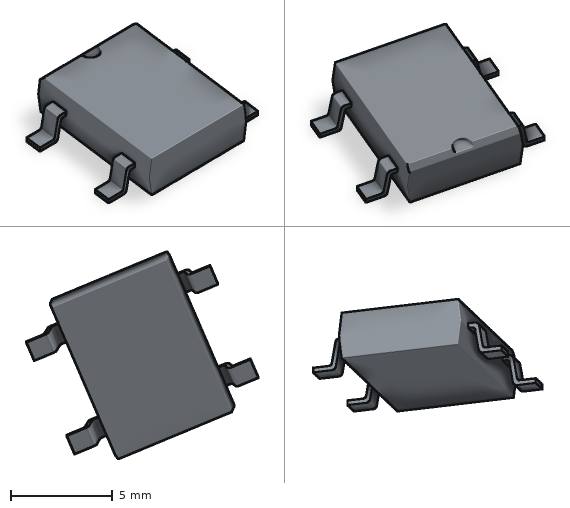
import cadquery as cq
import math

BODY_LENGTH = 8.31
PARTING_WIDTH = 6.4
BODY_BOTTOM = 0.14
BODY_TOP = 2.55
DRAFT_ANGLE = 7.0
END_CHAMFER = 0.3
EDGE_RADIUS = 0.05

MARK_RADIUS = 0.5
MARK_DEPTH = 0.2

LEAD_SPAN = 9.85
LEAD_PITCH = 5.1
LEAD_WIDTH = 1.0
LEAD_THICKNESS = 0.25
LEAD_TOP = 1.62
LEAD_SLOPE = 10.0
FOOT_LENGTH = 0.96
OUTER_BEND_RADIUS = 0.22
INNER_BEND_RADIUS = 0.16
LEAD_EMBED = 0.49

PARTING_HEIGHT = LEAD_TOP - LEAD_THICKNESS


def draft_inset(height):
    """Distance a long side leans inward over a given height."""
    return height * math.tan(math.radians(DRAFT_ANGLE))


def make_body():
    """Hexagonal section along X, chamfered and marked at one end, with rounded edges."""
    half_parting = PARTING_WIDTH / 2
    half_top = half_parting - draft_inset(BODY_TOP - PARTING_HEIGHT)
    half_bottom = half_parting - draft_inset(PARTING_HEIGHT - BODY_BOTTOM)
    section = [
        (-half_bottom, BODY_BOTTOM),
        (half_bottom, BODY_BOTTOM),
        (half_parting, PARTING_HEIGHT),
        (half_top, BODY_TOP),
        (-half_top, BODY_TOP),
        (-half_parting, PARTING_HEIGHT),
    ]
    body = cq.Workplane("YZ").polyline(section).close().extrude(BODY_LENGTH / 2, both=True)
    body = body.faces("<X").edges(">Z").chamfer(END_CHAMFER)

    mark_centre = (END_CHAMFER - BODY_LENGTH / 2, 0, BODY_TOP - MARK_DEPTH)
    body = body.cut(cq.Workplane("XY", origin=mark_centre).circle(MARK_RADIUS).extrude(2 * MARK_DEPTH))

    parting_lines = cq.selectors.StringSyntaxSelector("|X and (>Y or <Y)")
    x_middle = (END_CHAMFER - BODY_LENGTH) / 2
    z_middle = BODY_TOP - END_CHAMFER / 2
    sharp_edges = parting_lines
    for y_side in (-half_top, half_top):
        sharp_edges += cq.selectors.NearestToPointSelector((x_middle, y_side, z_middle))
    return body.edges(-sharp_edges).fillet(EDGE_RADIUS)


def make_lead(x_position):
    """One lead on the +Y side, reaching into the body at its root."""
    slope = math.radians(LEAD_SLOPE)
    y_tip = LEAD_SPAN / 2
    y_root = PARTING_WIDTH / 2 - LEAD_EMBED
    y_heel = y_tip - FOOT_LENGTH
    y_shoulder = y_heel - (LEAD_TOP - LEAD_THICKNESS) * math.tan(slope)
    strip_offset = LEAD_THICKNESS / math.cos(slope)
    foot_drop = LEAD_THICKNESS * math.tan(slope)

    heel_top = (y_heel, LEAD_THICKNESS)
    heel_bottom = (y_heel + foot_drop - strip_offset, 0)
    shoulder_top = (y_shoulder, LEAD_TOP)
    shoulder_bottom = (y_shoulder + foot_drop - strip_offset, PARTING_HEIGHT)
    outline = [
        (y_tip, 0),
        (y_tip, LEAD_THICKNESS),
        heel_top,
        shoulder_top,
        (y_root, LEAD_TOP),
        (y_root, PARTING_HEIGHT),
        shoulder_bottom,
        heel_bottom,
    ]
    lead = (
        cq.Workplane("YZ", origin=(x_position, 0, 0))
        .polyline(outline)
        .close()
        .extrude(LEAD_WIDTH / 2, both=True)
    )

    def bend(solid, corner, radius):
        nearest = cq.selectors.NearestToPointSelector((x_position, *corner))
        return solid.edges("|X").edges(nearest).fillet(radius)

    for corner in (shoulder_top, heel_bottom):
        lead = bend(lead, corner, OUTER_BEND_RADIUS)
    for corner in (shoulder_bottom, heel_top):
        lead = bend(lead, corner, INNER_BEND_RADIUS)
    return lead


result = make_body()
for x_lead in (-LEAD_PITCH / 2, LEAD_PITCH / 2):
    lead = make_lead(x_lead)
    result = result.union(lead).union(lead.mirror("XZ"))